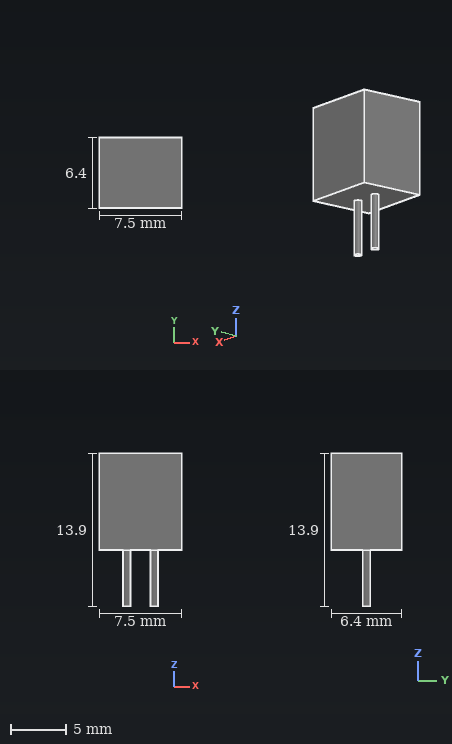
import cadquery as cq

total_height = 13.9
body_width = 7.5
body_depth = 6.4

lead_diameter = 0.7
lead_length = 5.1
lead_pitch = 2.5

body_height = total_height - lead_length


def make_body():
    """Rectangular body with its underside on the XY plane."""
    return cq.Workplane("XY").box(body_width, body_depth, body_height, centered=(True, True, False))


def make_lead(x):
    """Round lead hanging from the underside of the body at the given X."""
    return cq.Workplane("XY").center(x, 0).circle(lead_diameter / 2).extrude(-lead_length)


body = make_body()
leads = [make_lead(side * lead_pitch / 2) for side in (-1, 1)]

result = cq.Compound.makeCompound([body.val(), *[lead.val() for lead in leads]])